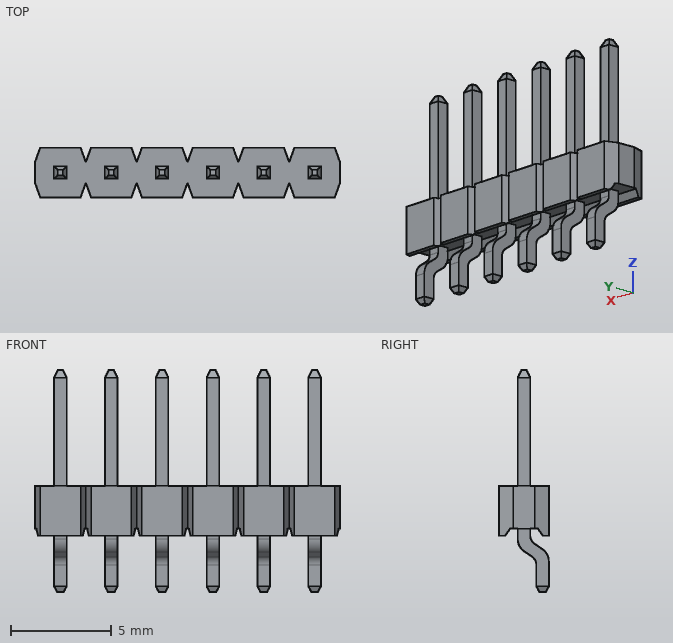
import cadquery as cq
import math

pin_count = 6
length = 15.24
pitch = length / pin_count
first_pin_x = -(length - pitch) / 2

body_width = 2.5
body_height = 2.5
notch_depth = 0.72
notch_half_width = 0.26
channel_depth = 0.37
channel_top_width = 1.37
channel_bottom_width = 1.89

pin_size = 0.64
top_tip_size = 0.26
bottom_tip_size = 0.34
top_tip_height = 0.38
bottom_tip_height = 0.29
pin_top_z = body_height + 5.79
pin_bottom_z = -2.8

tail_offset = (body_width - pin_size) / 2
bend_middle_z = -0.72
bend_slope = math.radians(34)
slope_thickness = 4.0
outer_bend_radius = 0.76
inner_bend_radius = 0.49


def body_segment(x):
    """One pin's share of the body: a block with its four upright corners cut off."""
    half_x = pitch / 2
    half_y = body_width / 2
    flat_x = half_x - notch_half_width
    flat_y = half_y - notch_depth
    outline = [
        (-flat_x, -half_y), (flat_x, -half_y),
        (half_x, -flat_y), (half_x, flat_y),
        (flat_x, half_y), (-flat_x, half_y),
        (-half_x, flat_y), (-half_x, -flat_y),
    ]
    return cq.Workplane("XY").polyline(outline).close().extrude(body_height).translate((x, 0, 0))


def underside_channel():
    """Trapezoidal channel along the full length of the body's underside."""
    return (
        cq.Workplane("YZ", origin=(-length / 2, 0, 0))
        .moveTo(-channel_bottom_width / 2, 0)
        .lineTo(-channel_top_width / 2, channel_depth)
        .lineTo(channel_top_width / 2, channel_depth)
        .lineTo(channel_bottom_width / 2, 0)
        .close()
        .extrude(length)
    )


def pin_tip(base_y, base_z, height, end_size):
    """Truncated pyramid on a pin's end; a negative height points it down."""
    return (
        cq.Workplane("XY", origin=(0, base_y, base_z))
        .rect(pin_size, pin_size)
        .workplane(offset=height)
        .rect(end_size, end_size)
        .loft(ruled=True)
    )


def slope_edge_z(y, side):
    """Height of the sloping stretch at y, on its upper (side = 1) or lower (side = -1) face."""
    middle_z = bend_middle_z - (y - tail_offset / 2) * math.tan(bend_slope)
    return middle_z + side * slope_thickness / 2 / math.cos(bend_slope)


def pin_shaft(top_z, bottom_z):
    """Straight shank, S-bend towards +Y and straight tail, between the two tips."""
    half = pin_size / 2
    tail_front = tail_offset - half
    tail_back = tail_offset + half
    shank_outer = (-half, slope_edge_z(-half, -0.15))
    shank_inner = (half, slope_edge_z(half, 0.15))
    tail_inner = (tail_front, slope_edge_z(tail_front, -0.15))
    tail_outer = (tail_back, slope_edge_z(tail_back, 0.15))

    outline = [
        (-half, top_z), shank_outer, tail_inner, (tail_front, bottom_z),
        (tail_back, bottom_z), tail_outer, shank_inner, (half, top_z),
    ]
    shaft = cq.Workplane("YZ").polyline(outline).close().extrude(half, both=True)

    corners = [
        (shank_outer, outer_bend_radius), (tail_outer, outer_bend_radius),
        (shank_inner, inner_bend_radius), (tail_inner, inner_bend_radius),
    ]
    for (y, z), radius in corners:
        shaft = shaft.edges("|X").edges(cq.NearestToPointSelector((0, y, z))).fillet(radius)
    return shaft


def pin():
    """One complete pin at x = 0."""
    shank_top_z = pin_top_z - top_tip_height
    tail_end_z = pin_bottom_z + bottom_tip_height
    top_tip = pin_tip(0, shank_top_z, top_tip_height, top_tip_size)
    bottom_tip = pin_tip(tail_offset, tail_end_z, -bottom_tip_height, bottom_tip_size)
    return pin_shaft(shank_top_z, tail_end_z).union(top_tip).union(bottom_tip)


pin_places = [first_pin_x + i * pitch for i in range(pin_count)]

result = body_segment(pin_places[0])
for x in pin_places[1:]:
    result = result.union(body_segment(x))
result = result.cut(underside_channel())

one_pin = pin()
for x in pin_places:
    result = result.union(one_pin.translate((x, 0, 0)))
result = result.clean()